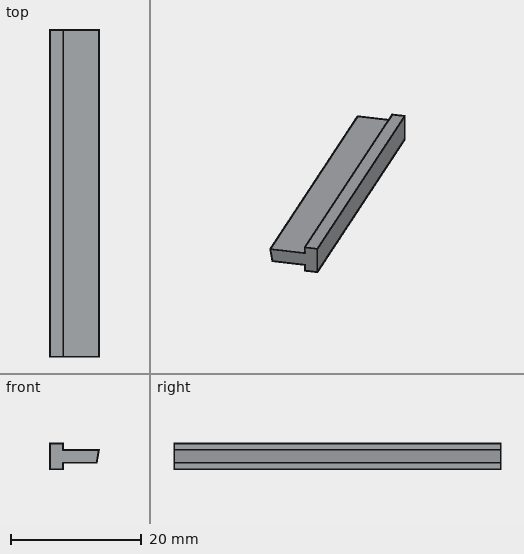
import cadquery as cq

length = 50.0
width = 7.5
flange_height = 3.95

flange_thickness = 2.0
web_thickness = 2.0
tip_inset = 0.35

left = -width / 2
right = width / 2
flange_right = left + flange_thickness
flange_top = flange_height / 2
web_top = web_thickness / 2

section = [
    (left, -flange_top),
    (flange_right, -flange_top),
    (flange_right, -web_top),
    (right - tip_inset, -web_top),
    (right, web_top),
    (flange_right, web_top),
    (flange_right, flange_top),
    (left, flange_top),
]

result = cq.Workplane("XZ").polyline(section).close().extrude(length / 2, both=True)